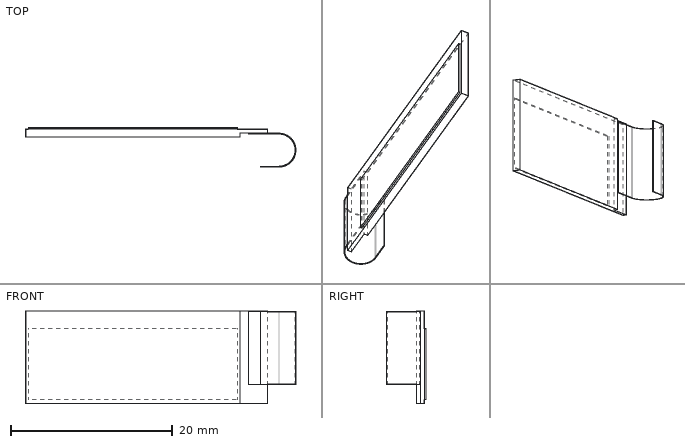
import cadquery as cq

slab_length = 30.0
slab_height = 11.5
slab_thickness = 1.0

tab_length = 3.4
tab_thickness = 0.5

label_thickness = 0.2
label_length = 25.9
label_height = 8.8
label_left = 0.35
label_bottom = 0.5

strip_thickness = 0.1
strip_height = 9.0
strip_top_gap = 0.1
bend_radius = 2.1
strip_overhang = 3.5
bonded_leg_length = 3.8
free_leg_length = 2.3


def make_slab():
    step_x = slab_length - tab_length
    outline = [
        (0, 0),
        (slab_length, 0),
        (slab_length, -tab_thickness),
        (step_x, -tab_thickness),
        (step_x, -slab_thickness),
        (0, -slab_thickness),
    ]
    return cq.Workplane("XY").polyline(outline).close().extrude(slab_height)


def make_label():
    label = cq.Workplane("XY").box(label_length, label_thickness, label_height, centered=False)
    return label.translate((label_left, 0, label_bottom))


def make_strip():
    bend_x = slab_length + strip_overhang - bend_radius
    bend_y = -tab_thickness - bend_radius
    inner_radius = bend_radius - strip_thickness
    bonded_end_x = bend_x - bonded_leg_length
    free_end_x = bend_x - free_leg_length
    strip_bottom = slab_height - strip_top_gap - strip_height
    return (
        cq.Workplane("XY", origin=(0, 0, strip_bottom))
        .moveTo(bonded_end_x, bend_y + bend_radius)
        .lineTo(bend_x, bend_y + bend_radius)
        .threePointArc((bend_x + bend_radius, bend_y), (bend_x, bend_y - bend_radius))
        .lineTo(free_end_x, bend_y - bend_radius)
        .lineTo(free_end_x, bend_y - inner_radius)
        .lineTo(bend_x, bend_y - inner_radius)
        .threePointArc((bend_x + inner_radius, bend_y), (bend_x, bend_y + inner_radius))
        .lineTo(bonded_end_x, bend_y + inner_radius)
        .close()
        .extrude(strip_height)
    )


result = make_slab().union(make_label()).union(make_strip())